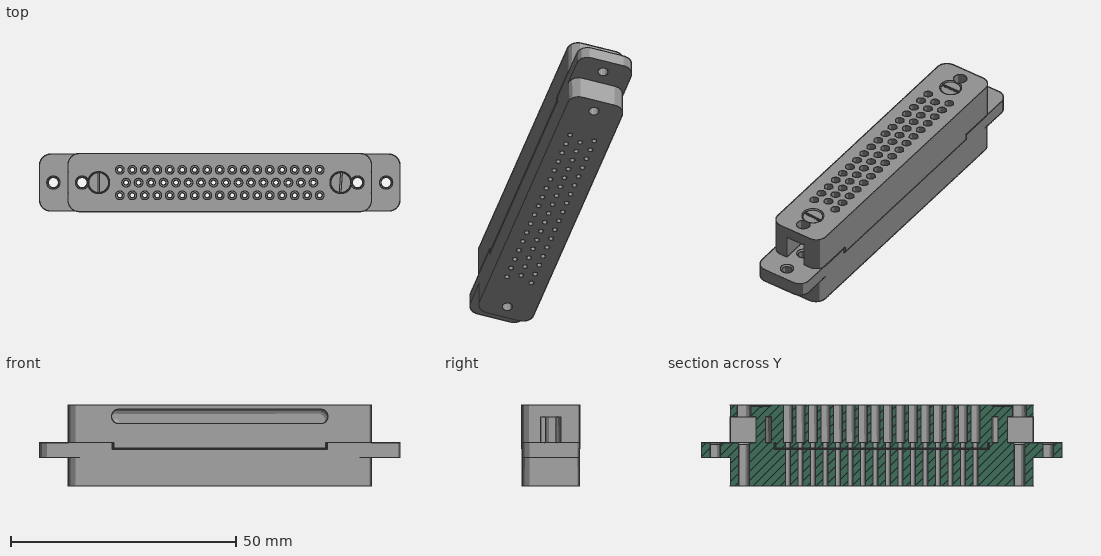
import cadquery as cq
import math

FLANGE_LENGTH = 80.01
BODY_LENGTH = 67.31
UPPER_WIDTH = 12.95
LOWER_WIDTH = 12.70
CORNER_RADIUS = 2.54

LOWER_HEIGHT = 6.35
FLANGE_THICKNESS = 3.30
TOTAL_HEIGHT = 18.03
FLANGE_TOP = LOWER_HEIGHT + FLANGE_THICKNESS
UPPER_HEIGHT = TOTAL_HEIGHT - FLANGE_TOP

TAB_HALF_LENGTH = 23.55
TAB_DEPTH = 1.25
TAB_GAP = 0.25

CONTACT_PITCH = 2.77
OUTER_ROW_COUNT = 17
ROW_SPACING = 2.83
CONTACT_BORE = 1.93
CONTACT_THROUGH = 1.07
CONTACT_BORE_DEPTH = UPPER_HEIGHT

MOUNT_X = 36.9
MOUNT_TO_ACCESS = 6.35
ACCESS_X = MOUNT_X - MOUNT_TO_ACCESS
MOUNT_SINK = 2.95
MOUNT_THROUGH = 2.26

SCREW_X = 26.85
HEAD_RIM = 4.9
SCREW_HEAD = 4.4
SHANK_DIAMETER = 2.26
DRIVER_SLOT_WIDTH = 0.4
DRIVER_SLOT_DEPTH = 0.5
RIGHT_SCREW_TURN = -4.0
POCKET_WIDTH = 4.6
POCKET_ROOF = 2.64
POCKET_HEIGHT = UPPER_HEIGHT - POCKET_ROOF

GROOVE_HALF_HEIGHT = 1.6
GROOVE_HALF_LENGTH = 24.0
GROOVE_DROP = 2.54
GROOVE_DEPTH = 0.9
GROOVE_FLOOR_HALF = 0.2
GROOVE_FLANK_RISE = GROOVE_HALF_HEIGHT - GROOVE_FLOOR_HALF
GROOVE_FLANK_RADIUS = (GROOVE_FLANK_RISE**2 + GROOVE_DEPTH**2) / (2 * GROOVE_DEPTH)
FLANK_MID_ANGLE = math.asin(GROOVE_FLANK_RISE / GROOVE_FLANK_RADIUS) / 2


def rounded_bar(length, width, bottom, height):
    """Bar with rounded vertical corners, standing on z = bottom."""
    bar = cq.Workplane("XY").workplane(offset=bottom).rect(length, width).extrude(height)
    return bar.edges("|Z").fillet(CORNER_RADIUS)


def cylinder(x, y, diameter, bottom, top):
    """Vertical cylinder between two heights."""
    base = cq.Workplane("XY").workplane(offset=bottom).center(x, y)
    return base.circle(diameter / 2).extrude(top - bottom)


def sink_cone(x, rim, bottom_diameter, top):
    """45 degree cone, narrowing downwards from its rim at z = top."""
    depth = (rim - bottom_diameter) / 2
    cone = cq.Solid.makeCone(bottom_diameter / 2, rim / 2, depth, cq.Vector(x, 0, top - depth))
    return cq.Workplane("XY").newObject([cone])


def block(length, width, bottom, top):
    """Block centred on the Z axis between two heights."""
    return cq.Workplane("XY").workplane(offset=bottom).rect(length, width).extrude(top - bottom)


def tab_recess():
    """Recess across the flange that receives the tab with clearance."""
    recess_bottom = FLANGE_TOP - TAB_DEPTH - TAB_GAP
    return block(2 * (TAB_HALF_LENGTH + TAB_GAP), LOWER_WIDTH, recess_bottom, FLANGE_TOP)


def upper_body():
    """Body above the flange with its shallow tab underneath."""
    body = rounded_bar(BODY_LENGTH, UPPER_WIDTH, FLANGE_TOP, UPPER_HEIGHT)
    return body.union(block(2 * TAB_HALF_LENGTH, UPPER_WIDTH, FLANGE_TOP - TAB_DEPTH, FLANGE_TOP))


def contact_points():
    """Centres of all contact holes, the middle row shifted by half a pitch."""
    points = []
    for row in (-1, 0, 1):
        count = OUTER_ROW_COUNT if row else OUTER_ROW_COUNT - 1
        for column in range(count):
            points.append(((column - (count - 1) / 2) * CONTACT_PITCH, row * ROW_SPACING))
    return points


def contact_holes():
    """Stepped holes, wide from the top and narrow through to the underside."""
    points = contact_points()
    narrow = cq.Workplane("XY").pushPoints(points).circle(CONTACT_THROUGH / 2).extrude(TOTAL_HEIGHT)
    top = cq.Workplane("XY").workplane(offset=TOTAL_HEIGHT)
    wide = top.pushPoints(points).circle(CONTACT_BORE / 2).extrude(-CONTACT_BORE_DEPTH)
    return narrow.union(wide)


def end_pocket(side):
    """Pocket open at the body end, with a round inner end around the screw shank."""
    length = BODY_LENGTH / 2 - SCREW_X
    base = cq.Workplane("XY").workplane(offset=FLANGE_TOP)
    run = base.center(side * (SCREW_X + length / 2), 0).rect(length, POCKET_WIDTH).extrude(POCKET_HEIGHT)
    pocket_top = FLANGE_TOP + POCKET_HEIGHT
    inner_end = cylinder(side * SCREW_X, 0, POCKET_WIDTH, FLANGE_TOP, pocket_top)
    shank = cylinder(side * SCREW_X, 0, SHANK_DIAMETER, FLANGE_TOP, pocket_top)
    return run.union(inner_end).cut(shank)


def screw_head(side):
    """Conical recess down to the flat screw head, with its driver slot."""
    x = side * SCREW_X
    recess = sink_cone(x, HEAD_RIM, SCREW_HEAD, TOTAL_HEIGHT)
    slot = block(DRIVER_SLOT_WIDTH, SCREW_HEAD, TOTAL_HEIGHT - DRIVER_SLOT_DEPTH, TOTAL_HEIGHT)
    if side > 0:
        slot = slot.rotate((0, 0, 0), (0, 0, 1), RIGHT_SCREW_TURN)
    return recess.union(slot.translate((x, 0, 0)))


def mounting_holes(side):
    """Two countersunk holes through the flange, the inner one reached through the pocket roof."""
    holes = cylinder(side * ACCESS_X, 0, MOUNT_SINK, FLANGE_TOP, TOTAL_HEIGHT)
    for x in (side * MOUNT_X, side * ACCESS_X):
        holes = holes.union(cylinder(x, 0, MOUNT_THROUGH, 0, FLANGE_TOP))
        holes = holes.union(sink_cone(x, MOUNT_SINK, MOUNT_THROUGH, FLANGE_TOP))
    return holes


def groove_half_profile(plane):
    """Half of the groove section: height along local x, depth along local y."""
    bend_x = GROOVE_FLOOR_HALF + GROOVE_FLANK_RADIUS * math.sin(FLANK_MID_ANGLE)
    bend_y = GROOVE_DEPTH - GROOVE_FLANK_RADIUS * (1 - math.cos(FLANK_MID_ANGLE))
    section = cq.Workplane(plane).lineTo(0, GROOVE_DEPTH).lineTo(GROOVE_FLOOR_HALF, GROOVE_DEPTH)
    return section.threePointArc((bend_x, bend_y), (GROOVE_HALF_HEIGHT, 0)).close()


def grip_groove():
    """Groove along the -Y side whose round ends carry the same section as its length."""
    straight_half = GROOVE_HALF_LENGTH - GROOVE_HALF_HEIGHT
    run_plane = cq.Plane(origin=(0, 0, 0), xDir=(0, 0, 1), normal=(-1, 0, 0))
    half_run = groove_half_profile(run_plane).extrude(straight_half, both=True)
    groove = half_run.union(half_run.mirror("XY"))
    round_end = groove_half_profile("XY").revolve(360, (0, 0, 0), (0, 1, 0))
    for side in (-1, 1):
        groove = groove.union(round_end.translate((side * straight_half, 0, 0)))
    return groove.translate((0, -UPPER_WIDTH / 2, TOTAL_HEIGHT - GROOVE_DROP))


result = rounded_bar(BODY_LENGTH, LOWER_WIDTH, 0, FLANGE_TOP)
result = result.union(rounded_bar(FLANGE_LENGTH, LOWER_WIDTH, LOWER_HEIGHT, FLANGE_THICKNESS))
result = result.cut(tab_recess()).union(upper_body())
result = result.cut(contact_holes()).cut(grip_groove())
for end in (-1, 1):
    result = result.cut(end_pocket(end)).cut(screw_head(end)).cut(mounting_holes(end))